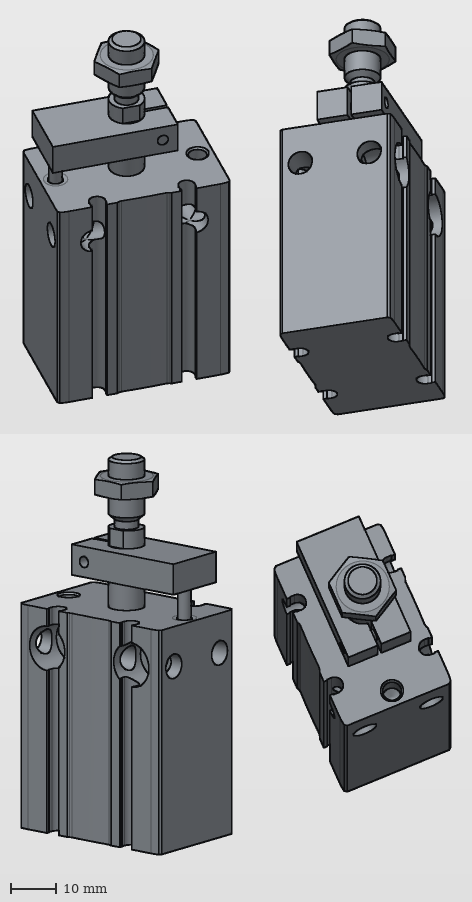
import cadquery as cq
import math


HOUSING_WIDTH = 26.0
HOUSING_LENGTH = 40.0
HOUSING_HEIGHT = 51.0
HALF_WIDTH = HOUSING_WIDTH / 2
HALF_LENGTH = HOUSING_LENGTH / 2
CORNER_ARC_RADIUS = 10.0
CORNER_ARC_LENGTH = 2.0
CORNER_FLAT_LENGTH = 0.4
END_FACE_WIDTH = 24.4
RECESS_DEPTH = 0.3
RECESS_SHOULDER_DEPTH = 0.21
RECESS_CROWN = 0.1
RECESS_RIM_Y = 6.3
RECESS_SHOULDER_Y = 5.9
RECESS_FLOOR_Y = 5.3

GROOVE_Y = 10.4
GROOVE_WIDTH = 3.7
GROOVE_DEPTH = 3.7
GROOVE_MOUTH_WIDTH = 3.4
GROOVE_LIP = 0.85

HOLE_DIAMETER = 5.5
HOLE_Z = HOUSING_HEIGHT - 9.0
SIDE_HOLE_Y = 12.0
END_HOLE_X = 8.0
COUNTERBORE_DIAMETER = 10.0
COUNTERBORE_DEPTH = 9.35

TOP_HOLE_Y = 16.5
TOP_HOLE_DEPTH = 5.1
PORT_DIAMETER = 4.2
PORT_RIM_DIAMETER = 5.0
PORT_RIM_DEPTH = 0.4
PORT_TIP_ANGLE = 118
GUIDE_HOLE_DIAMETER = 3.4
GUIDE_HOLE_RIM_DIAMETER = 5.35
GUIDE_HOLE_RIM_DEPTH = 0.2

ROD_DIAMETER = 8.0
ROD_TOP = 85.0
ROD_INSERTION = 17.0
ROD_BOTTOM = HOUSING_HEIGHT - ROD_INSERTION
TIP_DIAMETER = 6.4
TIP_CHAMFER_HEIGHT = 0.6
NECK_DIAMETER = 5.35
NECK_BOTTOM = ROD_TOP - 15.9
NECK_TOP = ROD_TOP - 14.1
THREAD_BOTTOM = ROD_TOP - 12.9
ROD_ACROSS_FLATS = 7.0

PLATE_WIDTH = 15.0
PLATE_LENGTH = 29.0
PLATE_THICKNESS = 7.0
PLATE_BACK_Y = 9.5
PLATE_TOP = ROD_TOP - 20.0
PLATE_BOTTOM = PLATE_TOP - PLATE_THICKNESS
SLIT_WIDTH = 0.85

SCREW_DIAMETER = 2.5
SCREW_Y = 6.0
SCREW_RECESS = 3.4

PIN_DIAMETER = 3.0
PIN_PLATE_INSERTION = 3.4

NUT_ACROSS_FLATS = 13.0
NUT_HEIGHT = 4.0
NUT_TOP = ROD_TOP - 4.25
NUT_FACE_DIAMETER = 11.7
NUT_CORNER_DROP = 0.3


def cylinder(diameter, bottom, top, x=0, y=0):
    """Upright cylinder between two heights."""
    return cq.Workplane("XY", origin=(x, y, bottom)).circle(diameter / 2).extrude(top - bottom)


def housing_blank():
    """Plain extrusion with rounded corners."""
    arc_angle = math.asin(CORNER_ARC_LENGTH / CORNER_ARC_RADIUS)
    arc_end_y = HALF_LENGTH - CORNER_FLAT_LENGTH
    arc_start_y = arc_end_y - CORNER_ARC_LENGTH

    def arc_point(angle):
        return (
            HALF_WIDTH - CORNER_ARC_RADIUS * (1 - math.cos(angle)),
            arc_start_y + CORNER_ARC_RADIUS * math.sin(angle),
        )

    quarter = (
        cq.Workplane("XY")
        .moveTo(0, 0)
        .lineTo(HALF_WIDTH, 0)
        .lineTo(HALF_WIDTH, arc_start_y)
        .threePointArc(arc_point(arc_angle / 2), arc_point(arc_angle))
        .lineTo(END_FACE_WIDTH / 2, HALF_LENGTH)
        .lineTo(0, HALF_LENGTH)
        .close()
        .extrude(HOUSING_HEIGHT)
    )
    half = quarter.union(quarter.mirror("YZ"))
    return half.union(half.mirror("XZ")).clean()


def side_recess():
    """Shallow recess along the +X side, with sloped edges and a slightly crowned floor."""
    shoulder_x = HALF_WIDTH - RECESS_SHOULDER_DEPTH
    floor_x = HALF_WIDTH - RECESS_DEPTH
    return (
        cq.Workplane("XY")
        .moveTo(HALF_WIDTH, -RECESS_RIM_Y)
        .lineTo(shoulder_x, -RECESS_SHOULDER_Y)
        .lineTo(floor_x, -RECESS_FLOOR_Y)
        .threePointArc((floor_x + RECESS_CROWN, 0), (floor_x, RECESS_FLOOR_Y))
        .lineTo(shoulder_x, RECESS_SHOULDER_Y)
        .lineTo(HALF_WIDTH, RECESS_RIM_Y)
        .close()
        .extrude(HOUSING_HEIGHT)
    )


def sensor_groove(y):
    """Round-bottomed groove with a narrower mouth, along the full height of the +X side."""
    radius = GROOVE_WIDTH / 2
    mouth_edge = GROOVE_MOUTH_WIDTH / 2
    lip_x = HALF_WIDTH - GROOVE_LIP
    arc_x = HALF_WIDTH - GROOVE_DEPTH + radius
    return (
        cq.Workplane("XY")
        .center(0, y)
        .moveTo(HALF_WIDTH, -mouth_edge)
        .lineTo(lip_x, -mouth_edge)
        .lineTo(lip_x, -radius)
        .lineTo(arc_x, -radius)
        .threePointArc((arc_x - radius, 0), (arc_x, radius))
        .lineTo(lip_x, radius)
        .lineTo(lip_x, mouth_edge)
        .lineTo(HALF_WIDTH, mouth_edge)
        .close()
        .extrude(HOUSING_HEIGHT)
    )


def side_hole(y):
    """Mounting hole through the width, counterbored from the -X side."""
    start = cq.Workplane("YZ", origin=(-HALF_WIDTH, y, HOLE_Z))
    hole = start.circle(HOLE_DIAMETER / 2).extrude(HOUSING_WIDTH)
    return hole.union(start.circle(COUNTERBORE_DIAMETER / 2).extrude(COUNTERBORE_DEPTH))


def end_hole(x):
    """Mounting hole through the length."""
    start = cq.Workplane("XZ", origin=(x, HALF_LENGTH, HOLE_Z))
    return start.circle(HOLE_DIAMETER / 2).extrude(HOUSING_LENGTH)


def top_hole(y, diameter, rim_diameter, rim_depth, tip_height):
    """Blind hole in the top face with a countersunk rim and a conical bottom, flat at zero tip height."""
    radius = diameter / 2
    rim_radius = rim_diameter / 2
    bottom = HOUSING_HEIGHT - TOP_HOLE_DEPTH
    outline = cq.Workplane("XZ", origin=(0, y, 0)).moveTo(0, HOUSING_HEIGHT)
    outline = (
        outline.lineTo(rim_radius, HOUSING_HEIGHT)
        .lineTo(radius, HOUSING_HEIGHT - rim_depth)
        .lineTo(radius, bottom)
        .lineTo(0, bottom - tip_height)
        .close()
    )
    return outline.revolve(360, (0, 0, 0), (0, 1, 0))


def make_housing():
    """Housing with its side profiles, mounting holes, port, guide hole and rod bore."""
    body = housing_blank()
    side_cuts = side_recess().union(sensor_groove(-GROOVE_Y)).union(sensor_groove(GROOVE_Y))
    body = body.cut(side_cuts).cut(side_cuts.mirror("YZ"))
    for side in (-1, 1):
        body = body.cut(side_hole(side * SIDE_HOLE_Y)).cut(end_hole(side * END_HOLE_X))
    port_tip_height = PORT_DIAMETER / 2 / math.tan(math.radians(PORT_TIP_ANGLE / 2))
    port = top_hole(TOP_HOLE_Y, PORT_DIAMETER, PORT_RIM_DIAMETER, PORT_RIM_DEPTH, port_tip_height)
    guide_hole = top_hole(
        -TOP_HOLE_Y, GUIDE_HOLE_DIAMETER, GUIDE_HOLE_RIM_DIAMETER, GUIDE_HOLE_RIM_DEPTH, 0
    )
    body = body.cut(port).cut(guide_hole)
    return body.cut(cylinder(ROD_DIAMETER, ROD_BOTTOM, HOUSING_HEIGHT))


def make_rod():
    """Turned rod with a necked, threaded end and two wrench flats above the plate."""
    radius = ROD_DIAMETER / 2
    neck_radius = NECK_DIAMETER / 2
    outline = (
        cq.Workplane("XZ")
        .moveTo(0, ROD_BOTTOM)
        .lineTo(radius, ROD_BOTTOM)
        .lineTo(radius, NECK_BOTTOM)
        .lineTo(neck_radius, NECK_BOTTOM)
        .lineTo(neck_radius, NECK_TOP)
        .lineTo(radius, THREAD_BOTTOM)
        .lineTo(radius, ROD_TOP - TIP_CHAMFER_HEIGHT)
        .lineTo(TIP_DIAMETER / 2, ROD_TOP)
        .lineTo(0, ROD_TOP)
        .close()
    )
    body = outline.revolve(360, (0, 0, 0), (0, 1, 0))
    flats_height = NECK_BOTTOM - PLATE_TOP
    around = cq.Workplane("XY", origin=(0, 0, PLATE_TOP)).rect(2 * ROD_DIAMETER, 2 * ROD_DIAMETER)
    around = around.extrude(flats_height)
    between = cq.Workplane("XY", origin=(0, 0, PLATE_TOP)).rect(ROD_ACROSS_FLATS, 2 * ROD_DIAMETER)
    return body.cut(around.cut(between.extrude(flats_height)))


def make_plate():
    """Clamp plate with the rod hole, a slit to its +Y end, and the screw and pin holes."""
    centre_y = PLATE_BACK_Y - PLATE_LENGTH / 2
    base = cq.Workplane("XY", origin=(0, 0, PLATE_BOTTOM))
    body = base.center(0, centre_y).rect(PLATE_WIDTH, PLATE_LENGTH).extrude(PLATE_THICKNESS)
    slit = base.center(0, PLATE_BACK_Y / 2).rect(SLIT_WIDTH, PLATE_BACK_Y).extrude(PLATE_THICKNESS)
    body = body.cut(slit).cut(cylinder(ROD_DIAMETER, PLATE_BOTTOM, PLATE_TOP))
    body = body.cut(screw_cylinder(-PLATE_WIDTH / 2))
    return body.cut(make_guide_pin())


def screw_cylinder(start_x):
    """Cylinder on the screw axis, from start_x to the +X side of the plate."""
    start = cq.Workplane("YZ", origin=(start_x, SCREW_Y, (PLATE_BOTTOM + PLATE_TOP) / 2))
    return start.circle(SCREW_DIAMETER / 2).extrude(PLATE_WIDTH / 2 - start_x)


def make_screw():
    """Headless clamp screw, flush on +X and set back from the -X side of the plate."""
    return screw_cylinder(SCREW_RECESS - PLATE_WIDTH / 2)


def make_guide_pin():
    """Pin held in the plate, running with clearance into the guide hole of the housing."""
    bottom = HOUSING_HEIGHT - TOP_HOLE_DEPTH
    return cylinder(PIN_DIAMETER, bottom, PLATE_BOTTOM + PIN_PLATE_INSERTION, 0, -TOP_HOLE_Y)


def make_nut():
    """Hexagon nut with two flats facing X and both faces chamfered to a cone."""
    corner_radius = NUT_ACROSS_FLATS / math.sqrt(3)
    bottom = NUT_TOP - NUT_HEIGHT
    hexagon = cq.Workplane("XY", origin=(0, 0, bottom)).polygon(6, 2 * corner_radius).extrude(NUT_HEIGHT)
    hexagon = hexagon.rotate((0, 0, 0), (0, 0, 1), 30)
    face_radius = NUT_FACE_DIAMETER / 2
    envelope = (
        cq.Workplane("XZ")
        .moveTo(0, bottom)
        .lineTo(face_radius, bottom)
        .lineTo(corner_radius, bottom + NUT_CORNER_DROP)
        .lineTo(corner_radius, NUT_TOP - NUT_CORNER_DROP)
        .lineTo(face_radius, NUT_TOP)
        .lineTo(0, NUT_TOP)
        .close()
        .revolve(360, (0, 0, 0), (0, 1, 0))
    )
    return hexagon.intersect(envelope).cut(cylinder(ROD_DIAMETER, bottom, NUT_TOP))


housing = make_housing()
rod = make_rod()
plate = make_plate()
screw = make_screw()
guide_pin = make_guide_pin()
nut = make_nut()

result = cq.Compound.makeCompound(
    [housing.val(), rod.val(), plate.val(), screw.val(), guide_pin.val(), nut.val()]
)